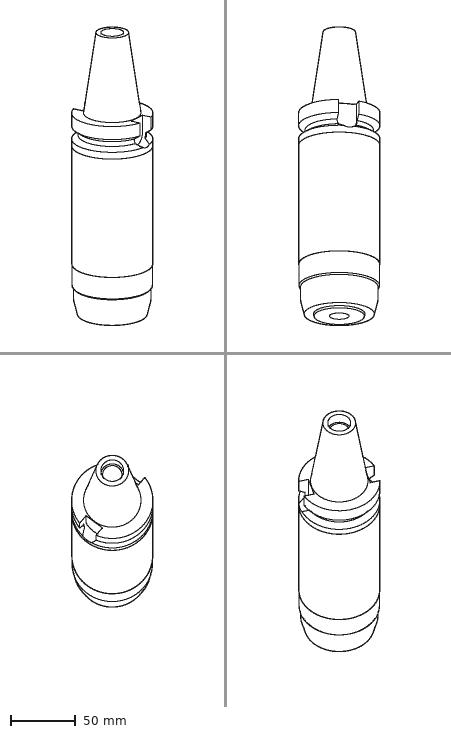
import cadquery as cq

total_height = 232.5
flange_diameter = 63.0
flange_radius = flange_diameter / 2
body_radius = 31.4
sleeve_radius = 31.1
nut_radius = 30.0
nut_end_radius = 27.2
lip_radius = 20.0
lip_end_radius = 19.5

lip_height = 1.6
nut_taper_top = 13.0
nut_top = 23.7
sleeve_bottom = 24.9
sleeve_top = 42.5
body_top = 139.7
groove_bottom_edge = 145.2
groove_floor_bottom = 148.3
groove_floor_top = 152.2
groove_top_edge = 155.7
flange_top = 166.5

groove_radius = 26.5
gauge_diameter = 44.5
gauge_radius = gauge_diameter / 2
shank_collar_height = 0.7
taper_ratio = 7 / 24

slot_width = 16.0
slot_floor_distance = 22.5
slot_bottom = 144.0

bore_radius = 7.5
counterbore_radius = 8.8
counterbore_depth = 8.8


def make_holder():
    """Revolve the outer profile around the Z axis."""
    taper_bottom = flange_top + shank_collar_height
    shank_end_radius = gauge_radius - (total_height - taper_bottom) * taper_ratio / 2
    profile = [
        (0, 0),
        (lip_end_radius, 0),
        (lip_radius, lip_height),
        (nut_end_radius, lip_height),
        (nut_radius, nut_taper_top),
        (nut_radius, nut_top),
        (sleeve_radius, sleeve_bottom),
        (sleeve_radius, sleeve_top),
        (body_radius, sleeve_top),
        (body_radius, body_top),
        (flange_radius, body_top),
        (flange_radius, groove_bottom_edge),
        (groove_radius, groove_floor_bottom),
        (groove_radius, groove_floor_top),
        (flange_radius, groove_top_edge),
        (flange_radius, flange_top),
        (gauge_radius, flange_top),
        (gauge_radius, taper_bottom),
        (shank_end_radius, total_height),
        (0, total_height),
    ]
    return cq.Workplane("XZ").polyline(profile).close().revolve(360, (0, 0), (0, 1))


def make_drive_slot(side):
    """Round-bottomed slot cutter on the +X (side=1) or -X (side=-1) flank."""
    half_width = slot_width / 2
    arc_center = slot_bottom + half_width
    return (
        cq.Workplane("YZ", origin=(side * slot_floor_distance, 0, 0))
        .moveTo(-half_width, flange_top)
        .lineTo(-half_width, arc_center)
        .threePointArc((0, slot_bottom), (half_width, arc_center))
        .lineTo(half_width, flange_top)
        .close()
        .extrude(side * flange_radius)
    )


def make_bore():
    """Through bore with a wider entry at the shank end."""
    bore = cq.Workplane("XY").circle(bore_radius).extrude(total_height)
    entry = (
        cq.Workplane("XY", origin=(0, 0, total_height - counterbore_depth))
        .circle(counterbore_radius)
        .extrude(counterbore_depth)
    )
    return bore.union(entry)


result = make_holder().cut(make_bore())
for side in (-1, 1):
    result = result.cut(make_drive_slot(side))